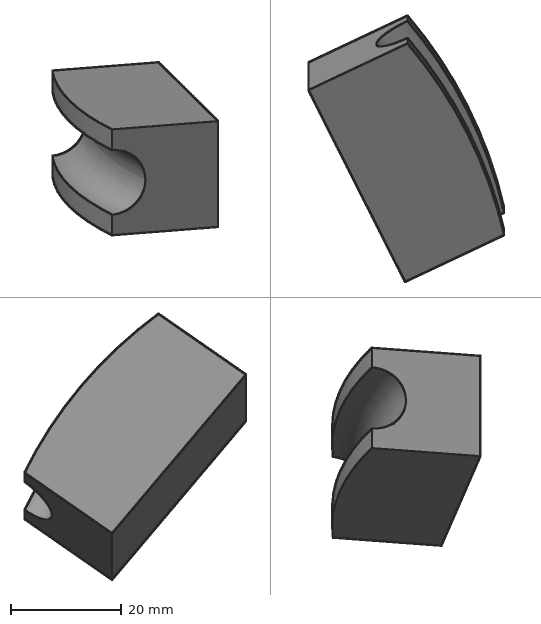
import cadquery as cq

length = 40.0
height = 20.0
end_depth = 20.0
bulge = 2.35
groove_radius = 6.1

half_length = length / 2
front_radius = (half_length**2 + bulge**2) / (2 * bulge)
back_y = end_depth / 2
end_y = -back_y
crown_y = end_y - bulge


def make_block():
    """Block with a flat back and a convex front, centred on Z = 0."""
    return (
        cq.Workplane("XY")
        .moveTo(-half_length, back_y)
        .lineTo(-half_length, end_y)
        .threePointArc((0, crown_y), (half_length, end_y))
        .lineTo(half_length, back_y)
        .close()
        .extrude(height / 2, both=True)
    )


def make_groove():
    """Ring that follows the curved front around its centre of curvature."""
    return (
        cq.Workplane("YZ")
        .center(crown_y, 0)
        .circle(groove_radius)
        .revolve(360, (front_radius, 0), (front_radius, 1))
    )


result = make_block().cut(make_groove())